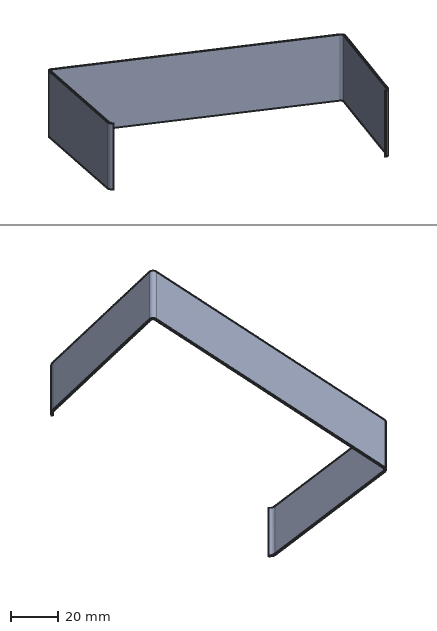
import cadquery as cq
import math

depth = 71.2
width = 133.1
height = 30.0

thickness = 0.8
corner_radius = 2.0
lip_radius = 3.6
leg_tilt = 3.0
lip_end_angle = 60.0


def on_arc(center, radius, slope):
    """Point where an arc runs down at the given slope (degrees) along +X."""
    angle = math.radians(90 - slope)
    return (center[0] + radius * math.cos(angle), center[1] + radius * math.sin(angle))


corner_center = (corner_radius, width / 2 - corner_radius)
leg_start = on_arc(corner_center, corner_radius, leg_tilt)
tip_reach, _ = on_arc((0, 0), lip_radius, lip_end_angle)
lip_center_x = depth - tip_reach
lip_start_dx, lip_start_dy = on_arc((0, 0), lip_radius, leg_tilt)
leg_run = lip_center_x + lip_start_dx - leg_start[0]
lip_start_y = leg_start[1] - leg_run * math.tan(math.radians(leg_tilt))
lip_center = (lip_center_x, lip_start_y - lip_start_dy)

corner_slopes = (-90, (leg_tilt - 90) / 2, leg_tilt)
lip_slopes = (leg_tilt, (leg_tilt + lip_end_angle) / 2, lip_end_angle)


def bend_points(inset):
    """Corner and lip arc points of the strip face lying inset below the outer face."""
    corner = [on_arc(corner_center, corner_radius - inset, s) for s in corner_slopes]
    lip = [on_arc(lip_center, lip_radius - inset, s) for s in lip_slopes]
    return corner, lip


def half_clip():
    """Half the wall and the +Y leg, extruded from their profile."""
    outer_corner, outer_lip = bend_points(0)
    inner_corner, inner_lip = bend_points(thickness)
    return (
        cq.Workplane("XY")
        .moveTo(0, 0)
        .lineTo(*outer_corner[0])
        .threePointArc(outer_corner[1], outer_corner[2])
        .lineTo(*outer_lip[0])
        .threePointArc(outer_lip[1], outer_lip[2])
        .lineTo(*inner_lip[2])
        .threePointArc(inner_lip[1], inner_lip[0])
        .lineTo(*inner_corner[2])
        .threePointArc(inner_corner[1], inner_corner[0])
        .lineTo(thickness, 0)
        .close()
        .extrude(height)
    )


half = half_clip()
result = half.union(half.mirror("XZ")).clean()